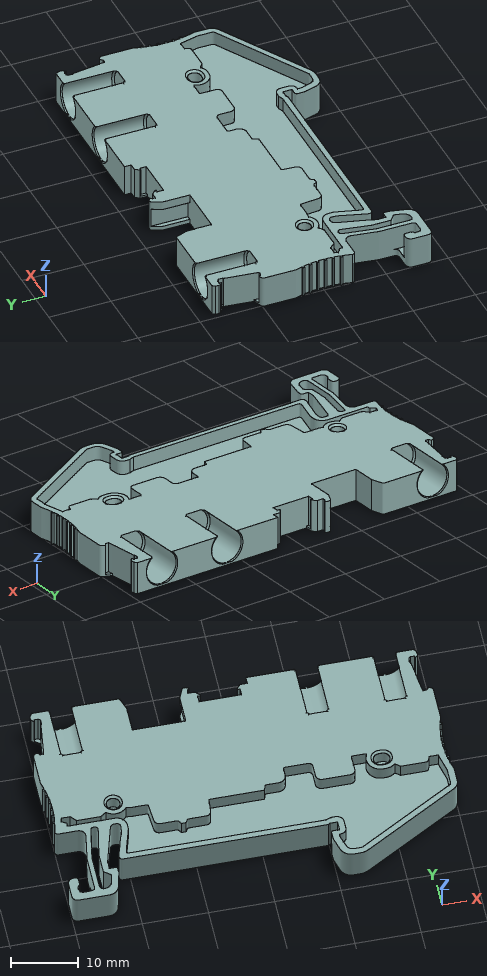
import cadquery as cq
import math

length = 60.4
height = 35.2
thickness = 5.2

pocket_depth = 2.25
web_thickness = 0.35
latch_web_thickness = 1.2

grip_center_y = 17.35
grip_half_chord = 4.9
grip_sag = 0.8
grip_radius = (grip_half_chord**2 + grip_sag**2) / (2 * grip_sag)
grip_axis_offset = grip_radius - grip_sag
tooth_count = 6
tooth_top_y = 20.95
tooth_bottom_y = 14.75
tooth_pitch = (tooth_top_y - tooth_bottom_y) / (tooth_count - 1)
tooth_width = 0.3
tooth_height = 0.33
tooth_root = 0.3

slot_floor_y = 29.2
seat_floor_y = 32.25
seat_undercut_y = 33.3
seat_left_x = 26.05
seat_right_x = 32.0
seat_web_width = 0.4

channel_xs = (5.7, 42.8, 54.6)
channel_mouth = 3.25
channel_flat = 0.35
channel_floor = 0.35
channel_end_y = 26.65
channel_end_taper = 0.35
channel_end_reduction = 0.205
channel_lead_in = 0.25
channel_lead_in_flare = 0.1
floor_to_top = thickness - channel_floor
bore_above_floor = (
    floor_to_top**2 + (channel_mouth / 2) ** 2 - (channel_flat / 2) ** 2
) / (2 * floor_to_top)
channel_axis_z = channel_floor + bore_above_floor
channel_radius = math.hypot(bore_above_floor, channel_flat / 2)

sockets = ((9.8, 0.0), (50.3, 0.45))
socket_y = 16.6
socket_radius = 1.0
socket_chamfer = 0.33
socket_depth = pocket_depth
socket_draft = 3.5
socket_chamfer_angle = 45
socket_boss_radius = 2.1


def rounded_profile(corners):
    """Closed wire through (x, y) or (x, y, radius) corners, rounding those with a radius."""
    segments = []
    for index, corner in enumerate(corners):
        point = cq.Vector(*corner[:2])
        radius = corner[2] if len(corner) == 3 else 0
        if radius == 0:
            segments.append((point,))
            continue
        before = cq.Vector(*corners[index - 1][:2])
        after = cq.Vector(*corners[(index + 1) % len(corners)][:2])
        to_before = (before - point).normalized()
        to_after = (after - point).normalized()
        half_angle = to_before.getAngle(to_after) / 2
        setback = radius / math.tan(half_angle)
        to_middle = radius / math.sin(half_angle) - radius
        bisector = (to_before + to_after).normalized()
        segments.append(
            (point + to_before * setback, point + bisector * to_middle, point + to_after * setback)
        )

    profile = cq.Workplane("XY").moveTo(*segments[0][-1].toTuple()[:2])
    for segment in segments[1:] + segments[:1]:
        profile = profile.lineTo(*segment[0].toTuple()[:2])
        if len(segment) == 3:
            profile = profile.threePointArc(segment[1].toTuple()[:2], segment[2].toTuple()[:2])
    return profile.close()


def prism(corners, bottom, top):
    """Solid between two heights with a rounded profile."""
    return rounded_profile(corners).extrude(top - bottom).translate((0, 0, bottom))


def mirrored(corners):
    """The same corners on the opposite end of the housing, in reverse order."""
    return [(length - x, y, *radius) for x, y, *radius in reversed(corners)]


lip_undercut = [
    (1.45, 33.6),
    (1.5, 33.95),
    (2.1, 33.95),
    (2.4, 33.7),
    (2.4, 33.0),
    (2.3, 32.9),
]
ledge_undercut = [(1.7, 28.25), (1.6, 27.5), (1.0, 27.5), (0.7, 27.9)]
lip_edge = [(1.3, height), (1.0, 34.7), (0.95, 34.25), (1.0, 33.95)]
ledge_corner = (0.0, 27.65, 0.6)
grip_start = (0.0, grip_center_y + grip_half_chord)
end_edge = lip_edge + lip_undercut + ledge_undercut + [ledge_corner, grip_start]
end_edge_right = mirrored(end_edge)
bottom_edge = [
    (0.2, 12.55, 0.55),
    (4.8, 12.55, 1.0),
    (3.85, 7.1),
    (3.85, 4.15, 0.6),
    (0.25, 4.15, 0.9),
    (0.25, 0.0, 0.85),
    (7.05, 0.0, 1.65),
    (8.0, 3.85, 0.9),
    (8.0, 4.85, 0.3),
    (6.75, 4.85),
    (6.75, 6.15, 0.6),
    (8.6, 12.7, 0.7),
    (10.0, 12.7, 0.55),
    (9.9, 11.25, 0.6),
    (8.6, 6.95, 0.6),
    (8.6, 6.1, 0.5),
    (40.1, 6.1),
    (40.35, 6.3),
    (41.5, 6.3),
    (41.5, 4.85),
    (40.2, 4.85, 0.3),
    (40.2, 3.4, 0.9),
    (41.2, 0.0, 1.9),
    (44.35, 0.0, 2.7),
    (60.4, 9.25, 1.8),
    (60.4, 12.4, 0.6),
    (60.35, 12.6),
]
top_edge = [
    (33.7, height),
    (33.7, 34.1),
    (32.55, 34.1),
    (seat_right_x, 33.45),
    (seat_right_x, seat_undercut_y),
    (seat_right_x + seat_web_width, seat_undercut_y),
    (seat_right_x + seat_web_width, seat_floor_y),
    (seat_left_x, seat_floor_y),
    (seat_left_x, seat_undercut_y),
    (seat_left_x + seat_web_width, seat_undercut_y),
    (seat_left_x + seat_web_width, 33.45),
    (25.8, 34.1),
    (24.75, 34.1),
    (24.75, 34.6),
    (25.05, 35.0),
    (24.65, height, 0.1),
    (24.1, height, 0.35),
    (23.4, 33.6, 0.6),
    (23.4, slot_floor_y),
    (15.35, slot_floor_y),
    (15.35, 33.2),
    (14.6, height, 0.3),
]
outline = end_edge + bottom_edge + end_edge_right + top_edge

latch_slit = [
    (5.6, 12.75, 0.4),
    (6.7, 12.75, 0.5),
    (5.75, 7.55, 1.2),
    (5.75, 4.4),
    (6.8, 3.55, 0.35),
    (6.3, 1.3, 1.2),
    (4.65, 1.3, 0.6),
    (4.65, 7.25, 1.2),
]
latch_recess = [
    (3.85, 4.85),
    (3.85, 1.3, 0.5),
    (1.5, 1.3, 0.6),
    (1.5, 2.4),
    (1.9, 2.8),
    (1.9, 4.15, 0.5),
    (0.95, 4.15),
    (0.95, 4.85),
]
pocket = [
    (1.5, 14.75),
    (2.3, 14.25),
    (2.3, 13.7, 0.2),
    (11.0, 13.7, 1.6),
    (11.0, 11.4, 1.2),
    (9.85, 7.5, 0.6),
    (9.85, 7.0, 0.3),
    (39.85, 7.0),
    (40.7, 7.3),
    (42.45, 7.3, 1.1),
    (42.45, 4.2, 0.85),
    (41.3, 4.0),
    (41.3, 3.45, 0.6),
    (42.1, 0.95, 1.1),
    (44.1, 0.95, 0.5),
    (59.3, 9.7, 0.5),
    (59.3, 12.3),
    (58.6, 15.35),
    (57.2, 15.35),
    (56.9, 14.45, 0.5),
    (52.7, 14.45),
    (51.8, 15.15, 0.3),
    (50.3, 15.15),
    (48.45, 16.05),
    (48.45, 17.75, 0.4),
    (45.95, 17.75, 0.25),
    (45.95, 14.45, 0.8),
    (40.05, 14.45, 0.9),
    (40.05, 17.75, 0.65),
    (35.7, 17.75, 0.3),
    (35.7, 15.15, 1.2),
    (32.45, 15.15, 0.25),
    (32.15, 14.25),
    (23.75, 14.25, 0.2),
    (23.5, 11.35, 0.8),
    (19.95, 11.35, 0.25),
    (19.55, 10.75),
    (18.85, 10.75),
    (18.5, 11.35, 0.25),
    (15.05, 11.35, 0.85),
    (14.75, 15.15, 0.25),
    (12.2, 15.15),
    (10.9, 15.35),
    (8.6, 15.2, 0.25),
    (7.5, 14.45),
    (3.8, 14.45),
    (3.0, 15.35),
    (1.7, 15.35),
]
nib_recess = [
    (22.95, slot_floor_y),
    (24.1, slot_floor_y),
    (24.1, height),
    (22.95, height),
]
nib_recess_bottom = 0.7
nib_recess_top = 3.8
end_webs = [
    lip_undercut,
    mirrored(lip_undercut),
    ledge_undercut,
    mirrored(ledge_undercut),
]
seat_webs = [
    [
        (x, seat_floor_y),
        (x + seat_web_width, seat_floor_y),
        (x + seat_web_width, seat_undercut_y),
        (x, seat_undercut_y),
    ]
    for x in (seat_left_x, seat_right_x)
]


def grip_depth(y):
    """How far the grip arc lies inside the end of the housing at a given y."""
    return math.sqrt(grip_radius**2 - (y - grip_center_y) ** 2) - grip_axis_offset


def grip_scallops():
    centers = [(-grip_axis_offset, grip_center_y), (length + grip_axis_offset, grip_center_y)]
    return cq.Workplane("XY").pushPoints(centers).circle(grip_radius).extrude(thickness)


def grip_teeth():
    teeth = cq.Workplane("XY")
    for index in range(tooth_count):
        y = tooth_top_y - index * tooth_pitch
        tip = grip_depth(y) - tooth_height
        tooth_length = tooth_height + tooth_root
        x = tip + tooth_length / 2
        tooth_centers = [(x, y), (length - x, y)]
        rib = cq.Workplane("XY").pushPoints(tooth_centers).rect(tooth_length, tooth_width)
        teeth = teeth.add(rib.extrude(thickness))
    return teeth.combine()


def wire_channel(x):
    """Bore along Y with a conical end and lead-in, kept above its flat floor."""
    half_section = [
        (0, channel_end_y),
        (channel_radius - channel_end_reduction, channel_end_y),
        (channel_radius, channel_end_y + channel_end_taper),
        (channel_radius, height - channel_lead_in),
        (channel_radius + channel_lead_in_flare, height),
        (0, height),
    ]
    bore = cq.Workplane("XY").polyline(half_section).close().revolve(360, (0, 0), (0, 1))
    bore = bore.translate((x, 0, channel_axis_z))
    above_floor = cq.Workplane("XY", origin=(x, 0, channel_floor)).box(
        length, height, thickness, centered=(True, False, False)
    )
    return bore.intersect(above_floor)


def stadium(x, extra_length, radius, depth, draft=0):
    """Round or elongated post hanging down from the top face, narrowing by the draft angle."""
    sketch = cq.Workplane("XY", origin=(x, socket_y, thickness))
    if extra_length == 0:
        return sketch.circle(radius).extrude(-depth, taper=draft)
    return sketch.slot2D(extra_length + 2 * radius, 2 * radius).extrude(-depth, taper=draft)


def socket(x, extra_length):
    hole = stadium(x, extra_length, socket_radius, socket_depth, socket_draft)
    mouth_radius = socket_radius + socket_chamfer
    mouth = stadium(x, extra_length, mouth_radius, socket_chamfer, socket_chamfer_angle)
    return hole.union(mouth)


def pocket_volume():
    floor = thickness - pocket_depth
    volume = prism(pocket, floor, thickness)
    for x, extra_length in sockets:
        volume = volume.cut(stadium(x, extra_length, socket_boss_radius, pocket_depth))
    return volume


body = prism(outline, 0, thickness)
body = body.cut(grip_scallops()).union(grip_teeth())
body = body.cut(prism(latch_slit, 0, thickness))
body = body.cut(prism(latch_recess, latch_web_thickness, thickness))
body = body.cut(prism(nib_recess, nib_recess_bottom, nib_recess_top))
body = body.cut(pocket_volume())
for x, extra_length in sockets:
    body = body.cut(socket(x, extra_length))
for x in channel_xs:
    body = body.cut(wire_channel(x))
for web in end_webs + seat_webs:
    body = body.union(prism(web, 0, web_thickness))

result = body